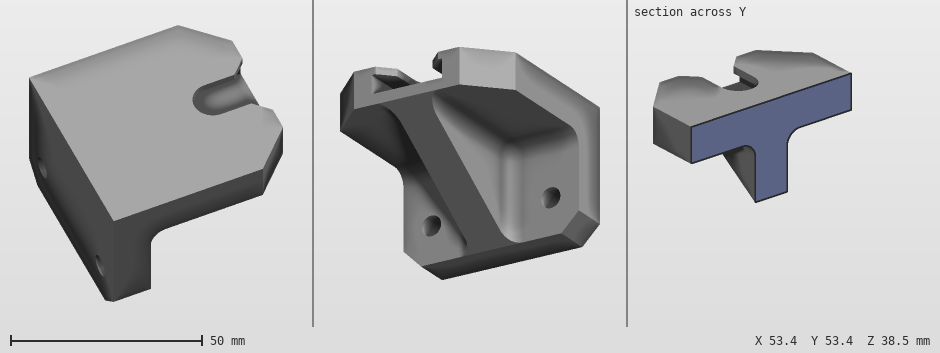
import cadquery as cq

width = 53.4
depth = 53.4
height = 38.45
plate = 10.7
half_x = width / 2
half_y = depth / 2
half_z = height / 2
plate_underside = half_z - plate
wall_inner_face = -half_y + plate

plate_bevel = 10.7
wall_bevel = 5.35

gusset_thickness = 10.7
blend_radius = 4.25

hole_diameter = 5.85
hole_spacing = 36.3
hole_height = 10.8

slot_width = 10.7
slot_length = 18.15
slot_flare = 4.2
lip_thickness = 2.15
undercut_width = 21.35
slot_floor_depth = 7.6
slot_centre_y = half_y - slot_length + slot_width / 2


def side_profile():
    """Full-width body: both plates joined by a sloping underside."""
    return (
        cq.Workplane("YZ", origin=(-half_x, 0, 0))
        .moveTo(-half_y, -half_z)
        .lineTo(wall_inner_face, -half_z)
        .lineTo(half_y, plate_underside)
        .lineTo(half_y, half_z)
        .lineTo(-half_y, half_z)
        .close()
        .extrude(width)
    )


def side_recess():
    """Space beside the gusset on +X, with its three inner edges rounded."""
    corner = (gusset_thickness / 2, wall_inner_face, plate_underside)
    recess = (
        cq.Workplane("XY", origin=corner)
        .box(width, depth, height, centered=False)
        .translate((0, 0, -height))
    )
    corner_point = cq.Vertex.makeVertex(*corner)
    touch_tolerance = 0.005
    inner_edges = [edge for edge in recess.edges().vals() if edge.distance(corner_point) < touch_tolerance]
    return recess.newObject(inner_edges).fillet(blend_radius)


def rounded_slot(slot_size, top_z, bottom_z):
    """Slot about X = 0 with a round inner end, running out through the back."""
    radius = slot_size / 2
    return (
        cq.Workplane("XY", origin=(0, 0, bottom_z))
        .moveTo(-radius, half_y)
        .lineTo(-radius, slot_centre_y)
        .threePointArc((0, slot_centre_y - radius), (radius, slot_centre_y))
        .lineTo(radius, half_y)
        .close()
        .extrude(top_z - bottom_z)
    )


def slot_mouth():
    """Tapered lead-in through the slot lip."""
    inner = slot_width / 2
    outer = inner + slot_flare
    return (
        cq.Workplane("XY", origin=(0, 0, half_z - lip_thickness))
        .moveTo(-outer, half_y)
        .lineTo(outer, half_y)
        .lineTo(inner, half_y - slot_flare)
        .lineTo(-inner, half_y - slot_flare)
        .close()
        .extrude(lip_thickness)
    )


recess = side_recess()
body = side_profile().cut(recess).cut(recess.mirror("YZ"))

body = body.edges("|Z and >Y").chamfer(plate_bevel)
body = body.edges("|Y and <Z").chamfer(wall_bevel)

holes = (
    cq.Workplane("XZ", origin=(0, -half_y, -half_z + hole_height))
    .pushPoints([(-hole_spacing / 2, 0), (hole_spacing / 2, 0)])
    .circle(hole_diameter / 2)
    .extrude(-plate)
)
body = body.cut(holes)

lip_underside = half_z - lip_thickness
body = body.cut(rounded_slot(slot_width, half_z, lip_underside))
body = body.cut(slot_mouth())
result = body.cut(rounded_slot(undercut_width, lip_underside, half_z - slot_floor_depth))